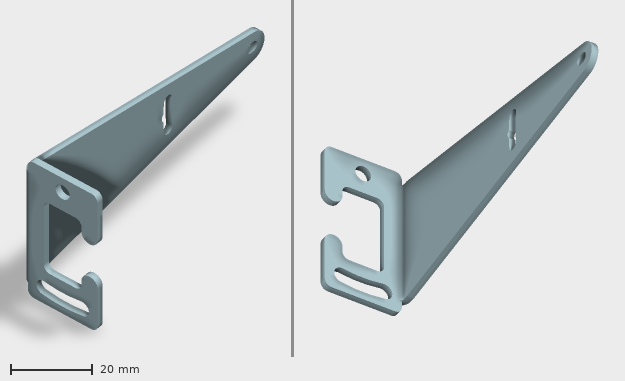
import cadquery as cq
import math


sheet = 1.9
bend_outer_radius = 2.8
bend_inner_radius = bend_outer_radius - sheet

flange_right = 24.0
flange_height = 44.0
flange_left = sheet
flange_width = flange_right - flange_left
flange_corner_radius = 2.0
flange_center_x = (flange_left + flange_right) / 2

window_width = 12.0
window_height = 22.8
window_corner_radius = 2.0
mouth_height = 10.6
window_right = flange_center_x + window_width / 2
finger_width = flange_right - window_right

pivot_diameter = 4.5
pivot_z = 17.45
flange_slot_radius = 35.0
flange_slot_half_angle = 10.0

arm_length = 91.4
arm_height = 36.2
taper_start_y = 4.4
tip_radius = 4.5
tip_center_y = arm_length - tip_radius

tip_hole_length = 3.9
tip_hole_height = 3.1
tip_hole_y = 86.6
arm_slot_width = 3.1
arm_slot_radius = 32.8
arm_slot_half_angle = 8.2
bulge_radius = 1.55
bulge_offset = 0.55

cut_depth = 4 * sheet


def arc_slot(plane, mid_radius, half_angle, width):
    """Cutter for a round-ended slot curving about the plane origin, below it in local y."""

    def at(radius, angle):
        turn = math.radians(angle)
        return (radius * math.sin(turn), -radius * math.cos(turn))

    inner = mid_radius - width / 2
    outer = mid_radius + width / 2
    cap_angle = half_angle + math.degrees(math.asin(width / 2 / mid_radius))
    return (
        cq.Workplane(plane)
        .moveTo(*at(inner, -half_angle))
        .threePointArc(at(inner, 0), at(inner, half_angle))
        .threePointArc(at(mid_radius, cap_angle), at(outer, half_angle))
        .threePointArc(at(outer, 0), at(outer, -half_angle))
        .threePointArc(at(mid_radius, -cap_angle), at(inner, -half_angle))
        .close()
        .extrude(cut_depth / 2, both=True)
    )


def make_arm_and_bend():
    """L-section strip with a rounded bend, trimmed to the tapered arm outline."""
    strip = (
        cq.Workplane("XY")
        .moveTo(0, arm_length)
        .lineTo(0, bend_outer_radius)
        .radiusArc((bend_outer_radius, 0), -bend_outer_radius)
        .lineTo(bend_outer_radius, sheet)
        .radiusArc((sheet, bend_outer_radius), bend_inner_radius)
        .lineTo(sheet, arm_length)
        .close()
        .extrude(arm_height / 2, both=True)
    )

    run = tip_center_y - taper_start_y
    rise = arm_height / 2
    tangent_angle = math.atan2(rise, run) - math.asin(tip_radius / math.hypot(run, rise))
    tangent_y = tip_center_y + tip_radius * math.sin(tangent_angle)
    tangent_z = tip_radius * math.cos(tangent_angle)
    outline = (
        cq.Workplane("YZ")
        .moveTo(0, -rise)
        .lineTo(taper_start_y, -rise)
        .lineTo(tangent_y, -tangent_z)
        .threePointArc((arm_length, 0), (tangent_y, tangent_z))
        .lineTo(taper_start_y, rise)
        .lineTo(0, rise)
        .close()
        .extrude(cut_depth)
    )
    return strip.intersect(outline)


def make_arm_cutouts():
    """Oblong tip hole and curved slot with a round bulge on its far edge."""
    tip_hole = (
        cq.Workplane("YZ")
        .center(tip_hole_y, 0)
        .slot2D(tip_hole_length, tip_hole_height)
        .extrude(cut_depth / 2, both=True)
    )
    slot_plane = cq.Plane(origin=(0, tip_hole_y, 0), xDir=(0, 0, -1), normal=(1, 0, 0))
    slot = arc_slot(slot_plane, arm_slot_radius, arm_slot_half_angle, arm_slot_width)
    bulge = (
        cq.Workplane("YZ")
        .center(tip_hole_y - arm_slot_radius - bulge_offset, 0)
        .circle(bulge_radius)
        .extrude(cut_depth / 2, both=True)
    )
    return tip_hole.union(slot).union(bulge)


def make_flange():
    """Rounded plate with the C window, pivot hole and curved adjustment slot."""
    plate = (
        cq.Workplane("XY")
        .box(flange_width, sheet, flange_height)
        .edges("|Y")
        .fillet(flange_corner_radius)
        .translate((flange_center_x, sheet / 2, 0))
    )
    window = (
        cq.Workplane("XY")
        .box(window_width, cut_depth, window_height)
        .edges("|Y")
        .fillet(window_corner_radius)
        .translate((flange_center_x, 0, 0))
    )

    finger_radius = finger_width / 2
    mouth = cq.Workplane("XY").box(finger_width, cut_depth, mouth_height + 2 * finger_radius)
    finger_x = window_right + finger_radius
    finger_z = mouth_height / 2 + finger_radius
    finger_ends = (
        cq.Workplane("XZ")
        .pushPoints([(finger_x, finger_z), (finger_x, -finger_z)])
        .circle(finger_radius)
        .extrude(-sheet)
    )

    pivot_hole = (
        cq.Workplane("XZ")
        .center(flange_center_x, pivot_z)
        .circle(pivot_diameter / 2)
        .extrude(cut_depth / 2, both=True)
    )
    slot_plane = cq.Plane(origin=(flange_center_x, 0, pivot_z), xDir=(1, 0, 0), normal=(0, -1, 0))
    slot = arc_slot(slot_plane, flange_slot_radius, flange_slot_half_angle, pivot_diameter)

    opened = plate.cut(window).cut(mouth.translate((finger_x, 0, 0)))
    return opened.union(finger_ends).cut(pivot_hole).cut(slot)


arm = make_arm_and_bend().cut(make_arm_cutouts())

bend_band = cq.Workplane("XY").box(2 * bend_outer_radius, cut_depth, arm_height)
flange = make_flange().cut(bend_band)

result = arm.union(flange)